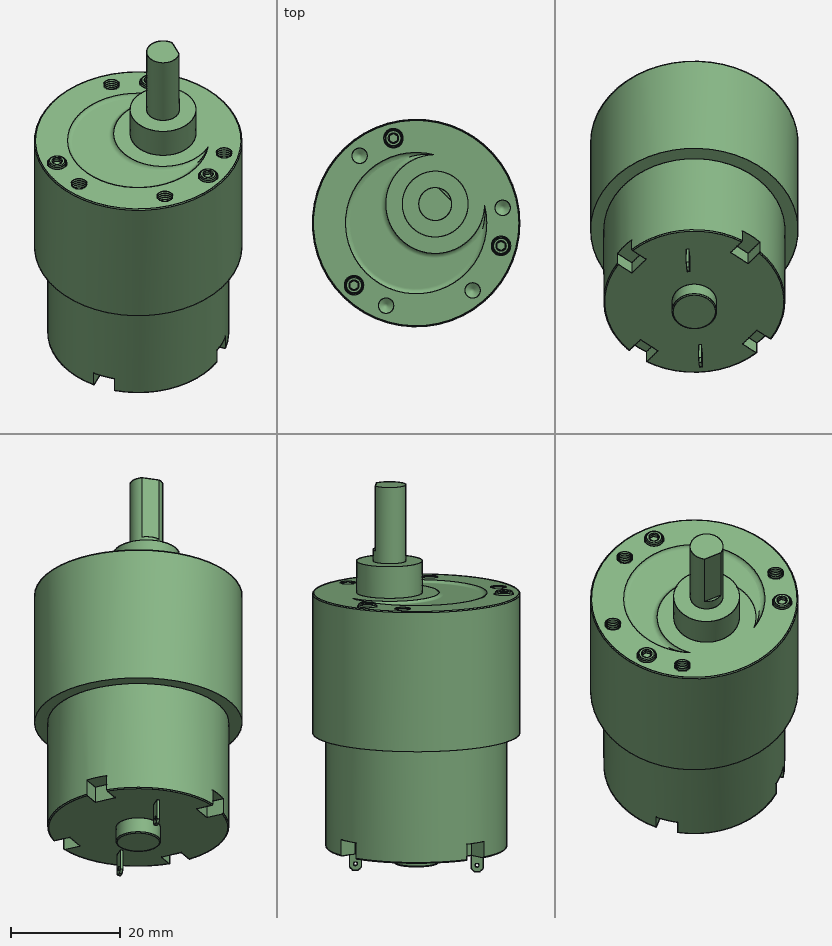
import cadquery as cq
import math


gearbox_diameter = 37.8
gearbox_height = 25.95
gearbox_edge_chamfer = 0.2

shaft_offset = 4.9
shaft_angle = 45
shaft_x = shaft_offset * math.cos(math.radians(shaft_angle))
shaft_y = shaft_offset * math.sin(math.radians(shaft_angle))
boss_diameter = 12.0
boss_height = 5.85
shaft_diameter = 6.0
shaft_length = 14.1
shaft_flat_distance = 2.5
shaft_flat_length = 12.0

recess_floor_radius = 12.0
island_top_radius = 9.0
recess_depth = 0.5
recess_fillet_radius = 1.0
recess_wall_run = math.sqrt(recess_fillet_radius**2 - (recess_fillet_radius - recess_depth)**2)

fastener_circle_radius = 16.0
mounting_hole_angles = [10, 130, 250, 310]
mounting_hole_diameter = 2.8
mounting_hole_depth = 3.0
drill_tip_angle = 118
thread_groove_depth = 0.2
thread_pitch = 0.5
screw_angles = [-15, 105, 225]
counterbore_diameter = 3.55
counterbore_depth = 1.0
screw_head_diameter = 3.15
screw_head_protrusion = 0.5
screw_head_chamfer = 0.2
socket_width = 1.5
socket_depth = 0.8
socket_countersink_diameter = 1.9
socket_countersink_depth = 0.2

motor_diameter = 33.0
can_length = 18.1
end_cap_length = 3.05
end_cap_chamfer = 0.2
notch_width = 4.1
notch_depth = 3.5
notch_angles = [0, 90, 180, 270]
rear_boss_diameter = 8.1
rear_boss_length = 3.0
rear_boss_chamfer = 0.2

overall_height = 71.49
terminal_circle_radius = 11.1
terminal_angles = [45, 225]
terminal_width = 2.2
terminal_thickness = 0.5
terminal_tip_chamfer = 0.6
terminal_eye_diameter = 0.7
terminal_eye_height = 1.2

motor_length = can_length + end_cap_length
shaft_top = gearbox_height + boss_height + shaft_length
terminal_length = overall_height - shaft_top - motor_length


def fastener_points(angles):
    return [
        (fastener_circle_radius * math.cos(math.radians(angle)),
         fastener_circle_radius * math.sin(math.radians(angle)))
        for angle in angles
    ]


def filleted_disc(floor_radius, top_radius):
    """Disc as deep as the recess, whose side is the wall fillet of the recess."""
    outward = math.copysign(1, top_radius - floor_radius)
    wall_angle = math.acos(1 - recess_depth / recess_fillet_radius) / 2
    arc_middle = (
        floor_radius + outward * recess_fillet_radius * math.sin(wall_angle),
        recess_fillet_radius * (1 - math.cos(wall_angle)),
    )
    return (
        cq.Workplane("XZ").lineTo(floor_radius, 0)
        .threePointArc(arc_middle, (top_radius, recess_depth))
        .lineTo(0, recess_depth).close()
        .revolve(360, (0, 0, 0), (0, 1, 0))
        .translate((0, 0, gearbox_height - recess_depth))
    )


def crescent_recess():
    """Round pocket minus the round island that surrounds the shaft boss."""
    pocket = filleted_disc(recess_floor_radius, recess_floor_radius + recess_wall_run)
    island = filleted_disc(island_top_radius + recess_wall_run, island_top_radius)
    return pocket.cut(island.translate((shaft_x, shaft_y, 0)))


def mounting_hole():
    """Blind hole with a drill-point bottom and V grooves standing for its thread."""
    radius = mounting_hole_diameter / 2
    tip_length = radius / math.tan(math.radians(drill_tip_angle / 2))
    profile = (
        cq.Workplane("XZ").moveTo(0, -mounting_hole_depth - tip_length)
        .lineTo(radius, -mounting_hole_depth)
    )
    for groove in range(round(mounting_hole_depth / thread_pitch)):
        groove_bottom = groove * thread_pitch - mounting_hole_depth
        profile = (
            profile.lineTo(radius + thread_groove_depth, groove_bottom + thread_pitch / 2)
            .lineTo(radius, groove_bottom + thread_pitch)
        )
    hole = profile.lineTo(0, 0).close().revolve(360, (0, 0, 0), (0, 1, 0))
    return hole.translate((0, 0, gearbox_height))


def make_shaft():
    shaft_bottom = gearbox_height + boss_height
    shaft = (
        cq.Workplane().workplane(offset=shaft_bottom)
        .circle(shaft_diameter / 2).extrude(shaft_length)
    )
    flat = (
        cq.Workplane()
        .box(shaft_diameter, shaft_diameter, shaft_flat_length, centered=(False, True, False))
        .translate((shaft_flat_distance, 0, shaft_top - shaft_flat_length))
    )
    return shaft.cut(flat).rotate((0, 0, 0), (0, 0, 1), shaft_angle).translate((shaft_x, shaft_y, 0))


def make_gearbox():
    body = (
        cq.Workplane().circle(gearbox_diameter / 2).extrude(gearbox_height)
        .faces(">Z").edges().chamfer(gearbox_edge_chamfer)
    )
    body = body.cut(crescent_recess())
    hole = mounting_hole()
    for x, y in fastener_points(mounting_hole_angles):
        body = body.cut(hole.translate((x, y, 0)))
    counterbores = (
        cq.Workplane().workplane(offset=gearbox_height)
        .pushPoints(fastener_points(screw_angles))
        .circle(counterbore_diameter / 2).extrude(-counterbore_depth)
    )
    boss = (
        cq.Workplane().workplane(offset=gearbox_height).center(shaft_x, shaft_y)
        .circle(boss_diameter / 2).extrude(boss_height)
    )
    return body.cut(counterbores).union(boss).union(make_shaft())


def make_screw(x, y):
    """Screw head with a countersunk hexagon socket, standing on its counterbore floor."""
    head_height = counterbore_depth + screw_head_protrusion
    countersink = cq.Workplane(cq.Solid.makeCone(
        socket_width / 2, socket_countersink_diameter / 2, socket_countersink_depth,
        cq.Vector(0, 0, head_height - socket_countersink_depth)))
    return (
        cq.Workplane().circle(screw_head_diameter / 2).extrude(head_height)
        .faces(">Z").edges().chamfer(screw_head_chamfer)
        .faces(">Z").workplane()
        .polygon(6, socket_width, circumscribed=True).cutBlind(-socket_depth)
        .cut(countersink)
        .translate((x, y, gearbox_height - counterbore_depth))
    )


def end_cap_notch(angle):
    return (
        cq.Workplane()
        .box(notch_depth, notch_width, end_cap_length, centered=(False, True, False))
        .translate((motor_diameter / 2 - notch_depth, 0, -motor_length))
        .rotate((0, 0, 0), (0, 0, 1), angle)
    )


def make_terminal(angle):
    """Flat blade with clipped tip corners and a wire eye."""
    blade = (
        cq.Workplane("XZ").rect(terminal_width, terminal_length)
        .extrude(terminal_thickness / 2, both=True)
        .faces("<Z").edges("|Y").chamfer(terminal_tip_chamfer)
    )
    eye = (
        cq.Workplane("XZ").center(0, terminal_eye_height - terminal_length / 2)
        .circle(terminal_eye_diameter / 2).extrude(terminal_thickness, both=True)
    )
    return (
        blade.cut(eye)
        .translate((terminal_circle_radius, 0, -motor_length - terminal_length / 2))
        .rotate((0, 0, 0), (0, 0, 1), angle)
    )


def make_motor():
    can = cq.Workplane().circle(motor_diameter / 2).extrude(-can_length)
    end_cap = (
        cq.Workplane().workplane(offset=-can_length)
        .circle(motor_diameter / 2).extrude(-end_cap_length)
        .faces("<Z").edges().chamfer(end_cap_chamfer)
    )
    for angle in notch_angles:
        end_cap = end_cap.cut(end_cap_notch(angle))
    rear_boss = (
        cq.Workplane().workplane(offset=-motor_length)
        .circle(rear_boss_diameter / 2).extrude(-rear_boss_length)
        .faces("<Z").edges().chamfer(rear_boss_chamfer)
    )
    motor = can.union(end_cap).union(rear_boss)
    for angle in terminal_angles:
        motor = motor.union(make_terminal(angle))
    return motor


gearbox = make_gearbox()
motor = make_motor()
screws = [make_screw(x, y) for x, y in fastener_points(screw_angles)]

result = cq.Compound.makeCompound(
    [gearbox.val(), motor.val(), *[screw.val() for screw in screws]])